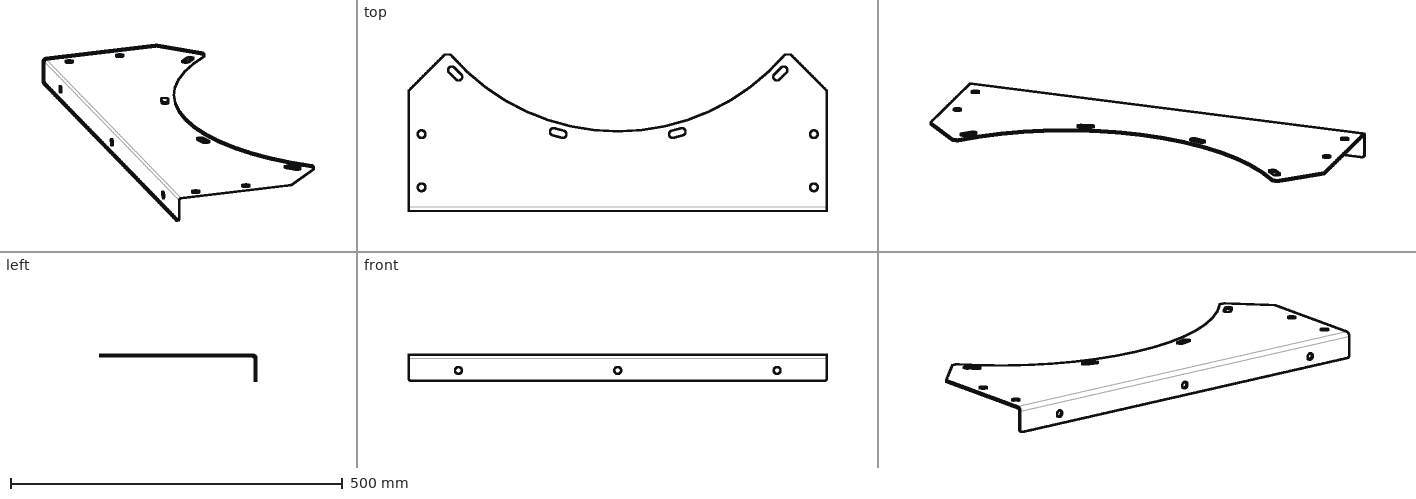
import cadquery as cq
import math

LENGTH = 630.0
DEPTH = 236.0
HEIGHT = 40.0
THICKNESS = 3.0
INNER_BEND_RADIUS = 3.0
OUTER_BEND_RADIUS = INNER_BEND_RADIUS + THICKNESS

CORNER_CUT = 55.0
TIP_WIDTH = 8.0
ARC_BOTTOM_Y = 120.5
TIP_FILLET = 3.0
FLANGE_FILLET = 4.0

SLOT_OFFSET = 14.5
SLOT_ANGLES = (-45, -15, 15, 45)
SLOT_WIDTH = 11.0
SLOT_LENGTH = 25.0

PLATE_HOLE_DIAMETER = 11.5
PLATE_HOLE_INSET = 19.5
PLATE_HOLE_ROWS = (36.0, 116.0)
FLANGE_HOLE_DIAMETER = 10.0
FLANGE_HOLE_SPACING = 240.0
FLANGE_HOLE_Z = 16.0

half_length = LENGTH / 2
tip_outer_x = half_length - CORNER_CUT
tip_inner_x = tip_outer_x - TIP_WIDTH
arc_sag = DEPTH - ARC_BOTTOM_Y
arc_radius = (tip_inner_x**2 + arc_sag**2) / (2 * arc_sag)
arc_center_y = ARC_BOTTOM_Y + arc_radius
slot_circle_radius = arc_radius + SLOT_OFFSET


def bent_sheet():
    """L-shaped sheet: plate on top, flange hanging down at Y = 0."""
    profile = (
        cq.Workplane("YZ", origin=(-half_length, 0, 0))
        .lineTo(0, HEIGHT - OUTER_BEND_RADIUS)
        .radiusArc((OUTER_BEND_RADIUS, HEIGHT), OUTER_BEND_RADIUS)
        .lineTo(DEPTH, HEIGHT)
        .lineTo(DEPTH, HEIGHT - THICKNESS)
        .lineTo(OUTER_BEND_RADIUS, HEIGHT - THICKNESS)
        .radiusArc((THICKNESS, HEIGHT - OUTER_BEND_RADIUS), -INNER_BEND_RADIUS)
        .lineTo(THICKNESS, 0)
        .close()
    )
    return profile.extrude(LENGTH)


def plate_outline():
    """Prism with cut rear corners and the large arc between two tips."""
    outline = (
        cq.Workplane("XY")
        .moveTo(-half_length, 0)
        .lineTo(half_length, 0)
        .lineTo(half_length, DEPTH - CORNER_CUT)
        .lineTo(tip_outer_x, DEPTH)
        .lineTo(tip_inner_x, DEPTH)
        .threePointArc((0, ARC_BOTTOM_Y), (-tip_inner_x, DEPTH))
        .lineTo(-tip_outer_x, DEPTH)
        .lineTo(-half_length, DEPTH - CORNER_CUT)
        .close()
        .extrude(HEIGHT)
    )
    tip_edges = cq.selectors.BoxSelector(
        (-half_length, DEPTH - TIP_FILLET, 0),
        (half_length, DEPTH + TIP_FILLET, HEIGHT),
    )
    return outline.edges("|Z").edges(tip_edges).fillet(TIP_FILLET)


def slot_cutter(angle):
    """Slot tangent to the slot circle, at an angle from the -Y direction."""
    x = slot_circle_radius * math.sin(math.radians(angle))
    y = arc_center_y - slot_circle_radius * math.cos(math.radians(angle))
    return (
        cq.Workplane("XY")
        .center(x, y)
        .slot2D(SLOT_LENGTH, SLOT_WIDTH, angle)
        .extrude(HEIGHT)
    )


def plate_hole_cutters():
    hole_x = half_length - PLATE_HOLE_INSET
    points = [(side * hole_x, y) for side in (-1, 1) for y in PLATE_HOLE_ROWS]
    return cq.Workplane("XY").pushPoints(points).circle(PLATE_HOLE_DIAMETER / 2).extrude(HEIGHT)


def flange_hole_cutters():
    points = [(i * FLANGE_HOLE_SPACING, FLANGE_HOLE_Z) for i in (-1, 0, 1)]
    return (
        cq.Workplane("XZ")
        .pushPoints(points)
        .circle(FLANGE_HOLE_DIAMETER / 2)
        .extrude(-OUTER_BEND_RADIUS)
    )


result = bent_sheet()
flange_corners = cq.selectors.BoxSelector(
    (-LENGTH, -THICKNESS, -THICKNESS), (LENGTH, OUTER_BEND_RADIUS, THICKNESS)
)
result = result.edges("|Y").edges(flange_corners).fillet(FLANGE_FILLET)
result = result.intersect(plate_outline())
for slot_angle in SLOT_ANGLES:
    result = result.cut(slot_cutter(slot_angle))
result = result.cut(plate_hole_cutters())
result = result.cut(flange_hole_cutters())